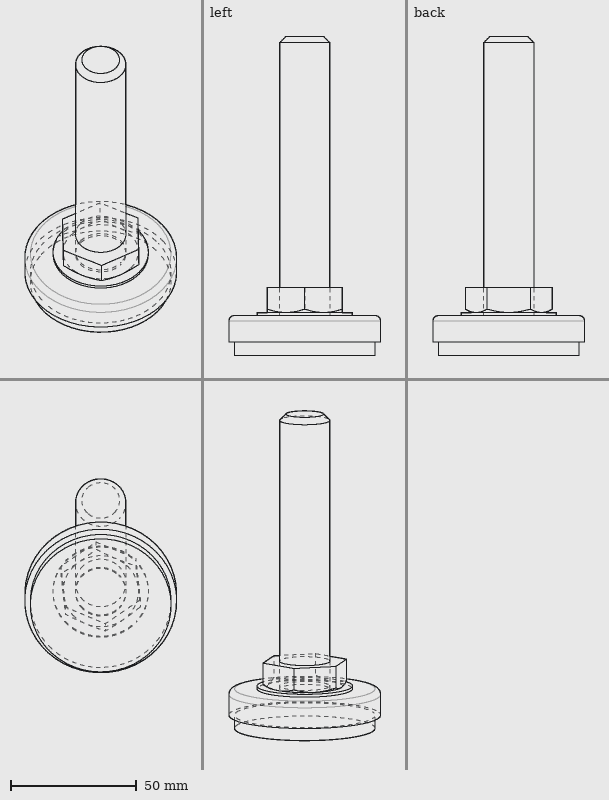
import cadquery as cq
import math

TOTAL_HEIGHT = 127.0

PAD_DIAMETER = 56.0
PAD_HEIGHT = 5.3

CAP_DIAMETER = 60.5
CAP_HEIGHT = 10.7
CAP_EDGE_RADIUS = 2.3

WASHER_DIAMETER = 38.0
WASHER_THICKNESS = 1.1

NUT_ACROSS_FLATS = 30.0
NUT_HEIGHT = 10.0
NUT_CHAMFER_ANGLE = 30.0

STUD_DIAMETER = 20.1
STUD_TIP_DIAMETER = 15.0
STUD_TIP_LENGTH = 2.5

CAP_BOTTOM = PAD_HEIGHT
CAP_TOP = CAP_BOTTOM + CAP_HEIGHT
WASHER_TOP = CAP_TOP + WASHER_THICKNESS


def make_pad():
    """Plain foot disc that rests on the floor."""
    return cq.Workplane("XY").circle(PAD_DIAMETER / 2).extrude(PAD_HEIGHT)


def make_cap():
    """Wider disc on the pad, with a rounded upper rim."""
    disc = cq.Workplane("XY").workplane(offset=CAP_BOTTOM).circle(CAP_DIAMETER / 2).extrude(CAP_HEIGHT)
    return disc.faces(">Z").edges().fillet(CAP_EDGE_RADIUS)


def make_washer():
    """Flat ring between the cap and the nut, around the stud."""
    return (
        cq.Workplane("XY")
        .workplane(offset=CAP_TOP)
        .circle(WASHER_DIAMETER / 2)
        .circle(STUD_DIAMETER / 2)
        .extrude(WASHER_THICKNESS)
    )


def make_nut():
    """Hexagon nut with two corners on the X axis, its lower corners cut back by a cone."""
    corner_radius = NUT_ACROSS_FLATS / math.sqrt(3)
    flat_radius = NUT_ACROSS_FLATS / 2
    chamfer_height = (corner_radius - flat_radius) * math.tan(math.radians(NUT_CHAMFER_ANGLE))

    hexagon = (
        cq.Workplane("XY")
        .workplane(offset=WASHER_TOP)
        .polygon(6, 2 * corner_radius)
        .circle(STUD_DIAMETER / 2)
        .extrude(NUT_HEIGHT)
    )
    envelope = (
        cq.Workplane("XZ")
        .moveTo(0, WASHER_TOP)
        .lineTo(flat_radius, WASHER_TOP)
        .lineTo(corner_radius, WASHER_TOP + chamfer_height)
        .lineTo(corner_radius, WASHER_TOP + NUT_HEIGHT)
        .lineTo(0, WASHER_TOP + NUT_HEIGHT)
        .close()
        .revolve(360, (0, 0, 0), (0, 1, 0))
    )
    return hexagon.intersect(envelope)


def make_stud():
    """Rod that stands on the cap and passes through the washer and nut, with a tapered tip."""
    stud_radius = STUD_DIAMETER / 2
    return (
        cq.Workplane("XZ")
        .moveTo(0, CAP_TOP)
        .lineTo(stud_radius, CAP_TOP)
        .lineTo(stud_radius, TOTAL_HEIGHT - STUD_TIP_LENGTH)
        .lineTo(STUD_TIP_DIAMETER / 2, TOTAL_HEIGHT)
        .lineTo(0, TOTAL_HEIGHT)
        .close()
        .revolve(360, (0, 0, 0), (0, 1, 0))
    )


pad = make_pad()
cap = make_cap()
washer = make_washer()
nut = make_nut()
stud = make_stud()

result = cq.Compound.makeCompound(
    [
        pad.solids().val(),
        cap.solids().val(),
        washer.solids().val(),
        nut.solids().val(),
        stud.solids().val(),
    ]
)